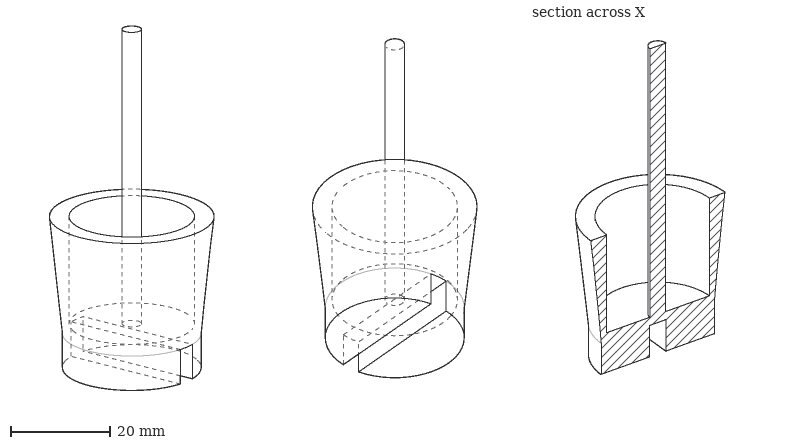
import cadquery as cq

total_height = 72.25
rim_height = 32.3
skirt_height = 7.4

rim_diameter = 33.25
skirt_diameter = 28.05
bore_diameter = 25.3
rod_diameter = 4.0

floor_thickness = 2.0
slot_width = 4.0

skirt = cq.Workplane("XY").circle(skirt_diameter / 2).extrude(skirt_height)
cup = (
    cq.Workplane("XY")
    .workplane(offset=skirt_height)
    .circle(skirt_diameter / 2)
    .workplane(offset=rim_height - skirt_height)
    .circle(rim_diameter / 2)
    .loft(ruled=True)
)

floor_top = skirt_height + floor_thickness
bore = (
    cq.Workplane("XY")
    .workplane(offset=floor_top)
    .circle(bore_diameter / 2)
    .extrude(rim_height - floor_top)
)

slot = cq.Workplane("XY").box(
    skirt_diameter, slot_width, skirt_height, centered=(True, True, False)
)

rod = (
    cq.Workplane("XY")
    .workplane(offset=skirt_height)
    .circle(rod_diameter / 2)
    .extrude(total_height - skirt_height)
)

result = skirt.union(cup).cut(bore).cut(slot).union(rod)